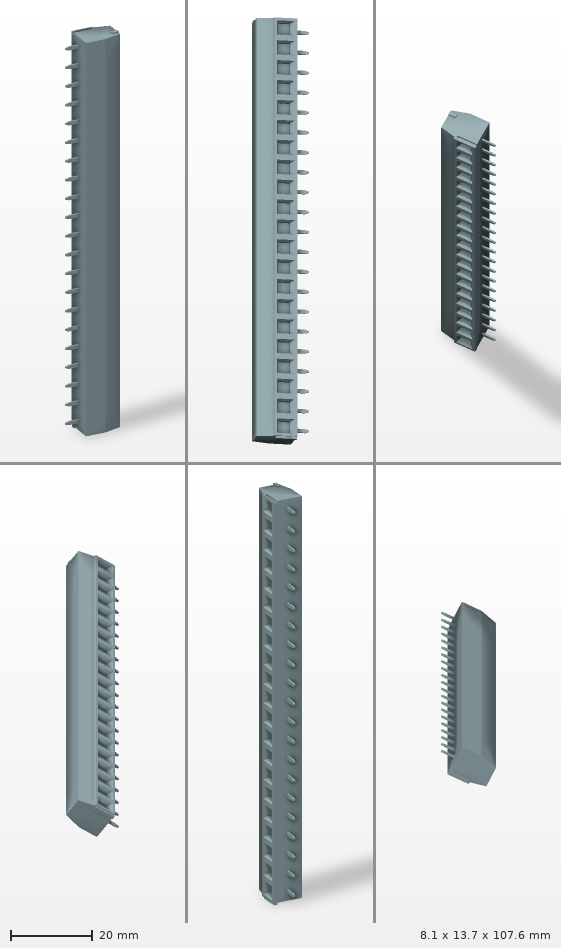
import cadquery as cq

ways = 21
body_width = 8.1
body_depth = 10.0
body_height = 106.7
pitch = body_height / ways

ledge_front = 5.7
ledge_back = 5.9
ledge_inset = 0.5
left_top_inset = 1.4
right_shoulder = 5.4
right_top_inset = 1.3

entry_front = 0.6
entry_back = 5.2
entry_height = 3.7
entry_depth = 1.1
funnel_front = 1.0
funnel_back = 0.5
funnel_side = 0.4
ramp_length = 1.0
ramp_rise = 0.2
ramp_step = 0.3

pin_length = 3.7
pin_thickness = 0.4
pin_width = 1.0
pin_tip_width = 0.4
pin_tip_length = 1.0

front_key_start = 0.3
front_key_width = 0.9
front_key_length = 5.3
front_key_height = 0.5
back_key_start = 5.3
back_key_width = 1.0
back_key_length = 1.9
back_key_height = 0.4


def block(x, y, z, dx, dy, dz):
    """Box with its lowest corner at (x, y, z)."""
    return cq.Workplane("XY").box(dx, dy, dz, centered=False).translate((x, y, z))


def housing():
    """Stepped, tapering cross section extruded along Z."""
    outline = [
        (0, 0),
        (body_width, 0),
        (body_width, right_shoulder),
        (body_width - right_top_inset, body_depth),
        (left_top_inset, body_depth),
        (ledge_inset, ledge_back),
        (0, ledge_front),
    ]
    return cq.Workplane("XY").polyline(outline).close().extrude(body_height)


def wire_entry(z):
    """Cutting body for one wire entry centred at height z."""
    front = entry_front + funnel_front
    back = entry_back - funnel_back
    floor_height = entry_height - 2 * funnel_side
    floor_depth = entry_depth + ramp_step + ramp_rise
    funnel = (
        cq.Workplane("YZ")
        .center((entry_front + entry_back) / 2, z)
        .rect(entry_back - entry_front, entry_height)
        .workplane(offset=entry_depth)
        .center((front + back - entry_front - entry_back) / 2, 0)
        .rect(back - front, floor_height)
        .loft(ruled=True)
    )
    ramp_pocket = (
        cq.Workplane("XY", origin=(0, 0, z - floor_height / 2))
        .polyline([
            (0, front),
            (floor_depth, front),
            (floor_depth, back - ramp_length),
            (entry_depth + ramp_step, back),
            (0, back),
        ])
        .close()
        .extrude(floor_height)
    )
    return funnel.union(ramp_pocket)


def pin(z):
    """Flat solder pin on the -Y face with a tapered tip, rooted in the housing."""
    root = entry_front
    shaft_end = pin_tip_length - pin_length
    half = pin_width / 2
    tip_half = pin_tip_width / 2
    return (
        cq.Workplane("YZ", origin=((body_width - pin_thickness) / 2, 0, z))
        .polyline([
            (root, -half),
            (shaft_end, -half),
            (-pin_length, -tip_half),
            (-pin_length, tip_half),
            (shaft_end, half),
            (root, half),
        ])
        .close()
        .extrude(pin_thickness)
    )


def front_key(z):
    """Key bar along the -Y end of the left side; also the shape of its mating groove."""
    return block(front_key_start, 0, z, front_key_width, front_key_length, front_key_height)


def back_key():
    """Short key bar on the upper end face, flush with the +Y side."""
    return block(
        back_key_start, body_depth - back_key_length, body_height,
        back_key_width, back_key_length, back_key_height,
    )


result = housing()
result = result.cut(front_key(body_height - front_key_height))
result = result.union(front_key(-front_key_height))
result = result.union(back_key())

for way in range(ways):
    way_z = (way + 0.5) * pitch
    result = result.cut(wire_entry(way_z))
    result = result.union(pin(way_z))